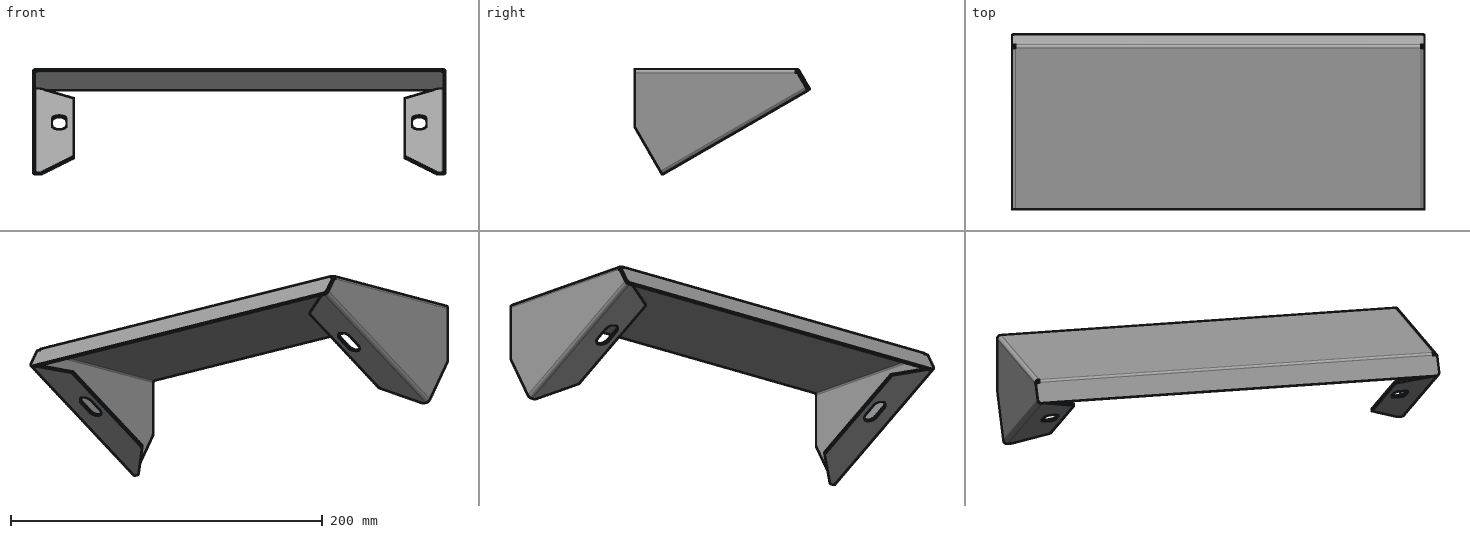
import cadquery as cq
import math

width = 265.0
depth = 112.5
height = 67.95
sheet = 1.5
inner_radius = 1.0
outer_radius = inner_radius + sheet

back_angle = math.radians(60)
back_length = 15.0
flange_clearance = 0.2
seam = 0.1

tab_width = 26.4
tab_straight = 5.0
tab_back_angle = math.radians(30)
tab_front_angle = math.radians(45)
tab_back_taper = (tab_width - tab_straight) * math.tan(tab_back_angle)
tab_front_taper = (tab_width - tab_straight) * math.tan(tab_front_angle)

slot_width = 9.0
slot_length = 18.0
slot_from_side = 17.0
slot_from_back = 44.8

overrun = 10.0

drop_y = math.cos(back_angle)
drop_z = math.sin(back_angle)
bend_setback = outer_radius * math.tan(back_angle / 2)
corner_length = back_length + flange_clearance
bend_start = corner_length - bend_setback
top_depth = depth - back_length * drop_y
back_corner = (top_depth + corner_length * drop_y, -corner_length * drop_z)
slant_length = (height + back_corner[1]) / drop_y
low_corner = (back_corner[0] - slant_length * drop_z, -height)
front_corner = (0, low_corner[0] * drop_z / drop_y - height)

slant_plane = cq.Plane(
    origin=(0, back_corner[0], back_corner[1]),
    xDir=(1, 0, 0),
    normal=(0, -drop_y, drop_z),
)


def rounded_body(points, half_width, radius):
    """Prism with its top, slanted and top-back edges rounded like the sheet bends."""
    body = cq.Workplane("YZ").polyline(points).close().extrude(half_width, both=True)
    mid_slant = slant_plane.toWorldCoords((0, -slant_length / 2, 0))
    top_sides = body.faces(">Z").edges("|Y")
    slant_face = body.faces(cq.selectors.NearestToPointSelector(mid_slant.toTuple()))
    slant_sides = slant_face.edges("not |X")
    bend = body.faces(">Z").edges(">Y")
    return body.newObject(top_sides.vals() + slant_sides.vals() + bend.vals()).fillet(radius)


def make_shell():
    """Bent sheet with a full floor, open at the front and at the front cut."""
    outline = [(0, 0), (top_depth, 0), back_corner, low_corner, front_corner]
    outer = rounded_body(outline, width / 2, outer_radius)

    inner_top_depth = top_depth - sheet * math.tan(back_angle / 2)
    inner_back = slant_plane.toWorldCoords((0, -sheet, sheet))
    inner_low = slant_plane.toWorldCoords((0, -slant_length - overrun, sheet))
    cavity_outline = [
        (-overrun, -sheet),
        (inner_top_depth, -sheet),
        (inner_back.y, inner_back.z),
        (inner_low.y, inner_low.z),
        (-overrun, inner_low.z),
    ]
    cavity = rounded_body(cavity_outline, width / 2 - sheet, inner_radius)
    return outer.cut(cavity)


def floor_opening():
    """Everything to remove from the floor to leave the two tabs."""
    back = -sheet
    front = -slant_length
    side = width / 2
    free_edge = side - tab_width
    right_edge = [
        (side - tab_straight, back),
        (free_edge, back - tab_back_taper),
        (free_edge, front + tab_front_taper),
        (side - tab_straight, front),
        (side - tab_straight, front - overrun),
    ]
    left_edge = [(-x, y) for x, y in reversed(right_edge)]
    return cq.Workplane(slant_plane).polyline(right_edge + left_edge).close().extrude(sheet)


def tab_slots():
    """One slot per tab, running along the slant and through the sheet."""
    slot_x = width / 2 - slot_from_side
    return (
        cq.Workplane(slant_plane)
        .pushPoints([(-slot_x, -slot_from_back), (slot_x, -slot_from_back)])
        .slot2D(slot_length, slot_width, 90)
        .extrude(sheet)
    )


def back_seam():
    """Thin gap in front of the back flange, ending where the top bend begins."""
    return (
        cq.Workplane(slant_plane)
        .center(0, -sheet - seam / 2)
        .rect(width, seam)
        .extrude(bend_start)
    )


def flange_trim():
    """Strip taken off the tip of the back flange."""
    flange_reach = sheet + seam
    return (
        cq.Workplane(slant_plane)
        .center(0, -flange_reach / 2)
        .rect(width, flange_reach)
        .extrude(flange_clearance)
    )


def corner_relief(side):
    """Notch where the side bend and the back bend would otherwise run together."""
    bend_zone_y = top_depth - bend_setback
    notch = (
        cq.Workplane("XY")
        .center(side * (width - outer_radius) / 2, bend_zone_y + overrun / 2)
        .rect(outer_radius, overrun)
        .extrude(-overrun)
    )
    above_flange = (
        cq.Workplane(slant_plane)
        .workplane(offset=bend_start)
        .rect(2 * width, 2 * overrun)
        .extrude(overrun)
    )
    return notch.intersect(above_flange)


result = make_shell().cut(floor_opening()).cut(tab_slots()).cut(back_seam()).cut(flange_trim())
for side in (-1, 1):
    result = result.cut(corner_relief(side))